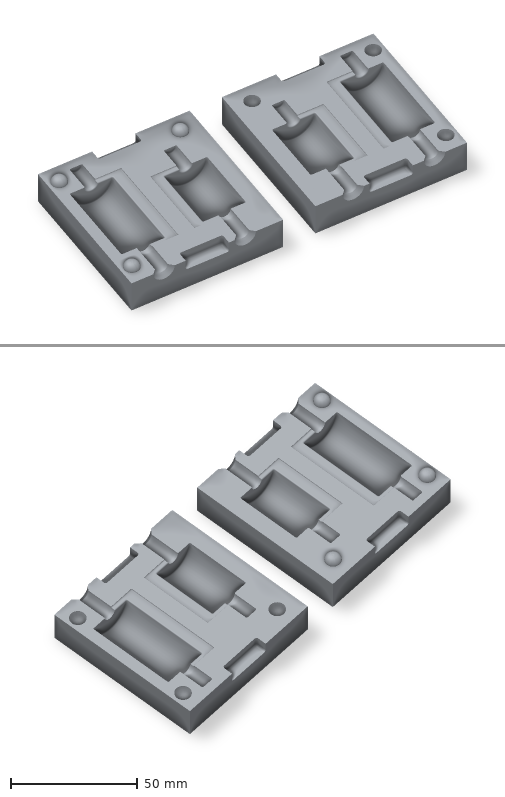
import cadquery as cq
OVERALL_LENGTH = 155.0
MOULD_WIDTH = 72.0
MOULD_DEPTH = 70.0
MOULD_HEIGHT = 15.0
HALF_LENGTH = OVERALL_LENGTH / 2
EDGE_RADIUS = 0.5

CORE_DIAMETER = 20.0
CORE_RADIUS = CORE_DIAMETER / 2
CORE_RIGHT_END = 56.0
STEM_RADIUS = 3.0
STEM_REACH = 12.0
LONG_CORE_LENGTH = 40.0
SHORT_CORE_LENGTH = 29.9
LONG_AXIS_INSET = 15.0
SHORT_AXIS_INSET = 52.5
FUNNEL_RADIUS = 5.0
FUNNEL_LENGTH = FUNNEL_RADIUS - STEM_RADIUS

SHELF_DEPTH = EDGE_RADIUS
SHELF_SIDE_MARGIN = 2.0
SHELF_REACH = 15.0

SLOT_LENGTH = 20.0
SLOT_DEPTH = 5.0
SLOT_RADIUS = 1.0

PIN_TIP_RADIUS = 0.55
PIN_HEIGHT = 3.0
PIN_LEFT = 8.0
PIN_SPACING = 56.0
PIN_INSET = 5.0

CUT_CLEARANCE = 1.5
LIP_TOLERANCE = 0.02

LONG_AXIS_Y = HALF_LENGTH - LONG_AXIS_INSET
SHORT_AXIS_Y = HALF_LENGTH - SHORT_AXIS_INSET
MOULD_CENTER_Y = HALF_LENGTH - MOULD_DEPTH / 2
PIN_Y = HALF_LENGTH - PIN_INSET
PIN_POINTS = [
    (PIN_LEFT, PIN_Y),
    (PIN_LEFT + PIN_SPACING, PIN_Y),
    (PIN_LEFT, PIN_Y - PIN_SPACING),
]


def core(core_length, axis_y):
    """Large round part of a cavity, lying along X with its axis in the parting face, with rounded rims."""
    left_end = cq.Workplane("YZ", origin=(CORE_RIGHT_END - core_length, axis_y, MOULD_HEIGHT))
    return left_end.circle(CORE_RADIUS).extrude(core_length).edges().fillet(EDGE_RADIUS)


def stem(core_length, axis_y):
    """Turned shape through the core: blind rounded end, flare into the core, funnel at the right wall."""
    core_left = CORE_RIGHT_END - core_length
    blind_end = core_left - STEM_REACH
    flare_radius = STEM_RADIUS + EDGE_RADIUS
    profile = (
        cq.Workplane("XY", origin=(0, axis_y, MOULD_HEIGHT))
        .moveTo(blind_end, 0)
        .lineTo(blind_end, STEM_RADIUS - EDGE_RADIUS)
        .radiusArc((blind_end + EDGE_RADIUS, STEM_RADIUS), EDGE_RADIUS)
        .lineTo(core_left - EDGE_RADIUS, STEM_RADIUS)
        .radiusArc((core_left, flare_radius), -EDGE_RADIUS)
        .lineTo(core_left + EDGE_RADIUS, flare_radius)
        .lineTo(core_left + EDGE_RADIUS, STEM_RADIUS)
        .lineTo(MOULD_WIDTH - FUNNEL_LENGTH, STEM_RADIUS)
        .lineTo(MOULD_WIDTH, FUNNEL_RADIUS)
        .lineTo(MOULD_WIDTH, 0)
        .close()
    )
    return profile.revolve(360, (0, 0), (1, 0))


def shelf(core_length, axis_y, inward):
    """Shallow recess from the cavity axis toward the mould middle; inward is +1 or -1 along Y."""
    length = core_length + 2 * SHELF_SIDE_MARGIN
    height = SHELF_DEPTH + CUT_CLEARANCE
    block = cq.Workplane("XY").box(length, SHELF_REACH, height, centered=(True, True, False))
    block = block.faces("<Z").edges().fillet(EDGE_RADIUS)
    return block.translate((
        CORE_RIGHT_END - core_length / 2,
        axis_y + inward * SHELF_REACH / 2,
        MOULD_HEIGHT - SHELF_DEPTH,
    ))


def shelf_lip(core_length, axis_y, inward):
    """Selector of the edges where the shelf floor drops into the core."""
    core_middle = CORE_RIGHT_END - core_length / 2
    half_span = core_length / 2 + EDGE_RADIUS
    floor_z = MOULD_HEIGHT - SHELF_DEPTH
    return cq.selectors.BoxSelector(
        (core_middle - half_span, axis_y + inward * STEM_RADIUS, floor_z - LIP_TOLERANCE),
        (core_middle + half_span, axis_y + inward * CORE_RADIUS, floor_z + LIP_TOLERANCE),
    )


def pry_slot(wall_x):
    """Rounded box centred on a side wall, so that half of it cuts into the mould."""
    return (
        cq.Workplane("XY")
        .box(2 * SLOT_DEPTH, SLOT_LENGTH, 2 * SLOT_DEPTH)
        .edges()
        .fillet(SLOT_RADIUS)
        .translate((wall_x, MOULD_CENTER_Y, MOULD_HEIGHT))
    )


def domes():
    """The three locating domes with small flat tips, standing on the parting face."""
    profile = (
        cq.Workplane("XZ")
        .lineTo(PIN_TIP_RADIUS + PIN_HEIGHT, 0)
        .radiusArc((PIN_TIP_RADIUS, PIN_HEIGHT), -PIN_HEIGHT)
        .lineTo(0, PIN_HEIGHT)
        .close()
    )
    dome = profile.revolve(360, (0, 0), (0, 1)).val()
    parting_face = cq.Workplane("XY", origin=(0, 0, MOULD_HEIGHT))
    return parting_face.pushPoints(PIN_POINTS).eachpoint(dome)


def mould_half():
    """Half without locators, on the +Y side.

    The shelf lips are rounded before the stems are cut, so that the rounding ends at the stems.
    """
    half = cq.Workplane("XY").box(MOULD_WIDTH, MOULD_DEPTH, MOULD_HEIGHT, centered=False)
    half = half.translate((0, HALF_LENGTH - MOULD_DEPTH, 0))
    for core_length, axis_y, inward in (
        (LONG_CORE_LENGTH, LONG_AXIS_Y, -1),
        (SHORT_CORE_LENGTH, SHORT_AXIS_Y, 1),
    ):
        half = half.cut(core(core_length, axis_y))
        half = half.cut(shelf(core_length, axis_y, inward))
        lip = shelf_lip(core_length, axis_y, inward)
        half = half.edges(lip).fillet(EDGE_RADIUS)
        half = half.cut(stem(core_length, axis_y))
    for wall_x in (0, MOULD_WIDTH):
        half = half.cut(pry_slot(wall_x))
    return half


socket_half = mould_half().cut(domes().mirror("XY", (0, 0, MOULD_HEIGHT)))
pin_half = mould_half().union(domes()).mirror("XZ")

result = cq.Compound.makeCompound([socket_half.val(), pin_half.val()])